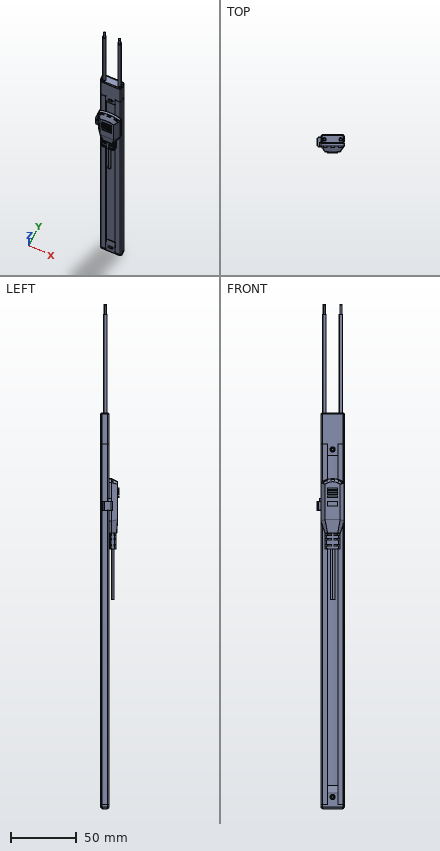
import cadquery as cq

OVERALL_LENGTH = 383.0

BAR_WIDTH = 18.0
BAR_DEPTH = 6.5
BAR_CHAMFER = 1.0
BAR_BOTTOM = 3.5
BAR_TOP = 277.3
CHANNEL_WIDTH = 8.0
CHANNEL_WALL_DEPTH = 1.5
CHANNEL_MIDDLE_DEPTH = 2.0

TOP_CAP_TOP = 300.5
TOP_CAP_CHAMFER = 0.8
TOP_TONGUE_END = 268.5
BOTTOM_TONGUE_SHOULDER = 12.3
BOTTOM_TONGUE_END = 18.0
BOTTOM_CAP_CHAMFER = 1.5

SCREW_HEIGHTS = (9.2, 273.0)
SCREW_HEAD_DIAMETER = 4.0
SCREW_HEAD_THICKNESS = 1.5
SCREW_SHANK_DIAMETER = 2.0
SCREW_LENGTH = 4.5
SCREW_DISH_DIAMETER = 3.0
SCREW_DISH_DEPTH = 1.0

WIRE_OFFSET = 6.32
WIRE_Y = 2.87
WIRE_DIAMETER = 2.5
BARE_DIAMETER = 1.72
BARE_LENGTH = 7.3
WIRE_INSERTION = 4.0

PLUG_TOP = 251.0
PLUG_SHOULDER = 247.8
PLUG_TAPER_START = 218.7
PLUG_BOTTOM = 209.5
PLUG_TAIL_HALF_WIDTH = 5.7
PLUG_PARTING_DEPTH = 2.0
PLUG_DEPTH = 6.5
FACE_HALF_WIDTH = 5.7
FACE_TOP = 248.5
FACE_SHOULDER = 246.5
FACE_TAIL_HALF_WIDTH = 3.5
FACE_BEND = 220.0
FACE_END_DEPTH = 5.7

FACE_FEATURE_WIDTH = 7.5
GRIP_TOP = 244.0
GRIP_BOTTOM = 236.7
GRIP_RIB_COUNT = 4
GRIP_RIB_THICKNESS = 1.0
GRIP_RIB_HEIGHT = 0.92
WINDOW_TOP = 233.5
WINDOW_BOTTOM = 230.0
WINDOW_DEPTH = 0.5

NOTCH_WIDTH = 2.5
NOTCH_BACK = -2.0
NOTCH_FRONT = -3.0
SIDE_NOTCH_OFFSET = 5.7
MIDDLE_NOTCH_FLOOR = 249.0
SIDE_NOTCH_FLOOR = 247.5

RELIEF_BOTTOM = 197.5
RELIEF_WIDTH = 11.5
RELIEF_BACK_DEPTH = 0.5
RELIEF_FRONT_DEPTH = 5.5
RELIEF_CHAMFER = 1.0
RELIEF_GROOVE_HEIGHTS = (208.5, 205.0, 200.5)
RELIEF_GROOVE_WIDTH = 1.0
RELIEF_GROOVE_DEPTH = 1.0
RELIEF_SPINE_WIDTH = 2.0

CORE_DIAMETER = 2.0
CORE_SPACING = 1.5
CABLE_Y = -2.87
CABLE_BOTTOM = 159.0

BUTTON_PROJECTION = 2.85
BUTTON_FRONT = -2.5
BUTTON_BACK = 4.5
BUTTON_CHAMFER = 1.0
BUTTON_BOTTOM = 226.7
BUTTON_TOP = 233.5
COLLAR_PROJECTION = 1.0
COLLAR_BACK = 0.8
COLLAR_TOP = 236.0


def box(x_range, y_range, z_range):
    """Axis-aligned box between the given limits."""
    size = [limits[1] - limits[0] for limits in (x_range, y_range, z_range)]
    corner = (x_range[0], y_range[0], z_range[0])
    return cq.Workplane("XY").box(*size, centered=False).translate(corner)


def bar_block(bottom, top):
    """Stretch of the bar's outer section without the channel, long edges chamfered."""
    half_width = BAR_WIDTH / 2
    block = box((-half_width, half_width), (0, BAR_DEPTH), (bottom, top))
    return block.edges("|Z").chamfer(BAR_CHAMFER)


def channel_filling(bottom, top):
    """Stretch of the channel's section: straight walls and a hollow, arc-shaped floor."""
    half_width = CHANNEL_WIDTH / 2
    return (
        cq.Workplane("XY", origin=(0, 0, bottom))
        .moveTo(-half_width, 0)
        .lineTo(-half_width, CHANNEL_WALL_DEPTH)
        .threePointArc((0, CHANNEL_MIDDLE_DEPTH), (half_width, CHANNEL_WALL_DEPTH))
        .lineTo(half_width, 0)
        .close()
        .extrude(top - bottom)
    )


def front_cylinder(diameter, height, length):
    """Cylinder on the centre line at a height, running back in +Y from the bar's front face."""
    return cq.Workplane("XZ", origin=(0, 0, height)).circle(diameter / 2).extrude(-length)


def screw_envelope(height):
    """Head and shank of a screw, flush with the bar's front face."""
    head = front_cylinder(SCREW_HEAD_DIAMETER, height, SCREW_HEAD_THICKNESS)
    return head.union(front_cylinder(SCREW_SHANK_DIAMETER, height, SCREW_LENGTH))


def make_screw(height):
    """Screw with a conical dish in its head."""
    dish = cq.Solid.makeCone(
        SCREW_DISH_DIAMETER / 2,
        0,
        SCREW_DISH_DEPTH,
        pnt=cq.Vector(0, 0, height),
        dir=cq.Vector(0, 1, 0),
    )
    return screw_envelope(height).cut(cq.Workplane(dish))


def cut_screw_holes(body):
    """Stepped holes that match the screws."""
    for height in SCREW_HEIGHTS:
        body = body.cut(screw_envelope(height))
    return body


def make_profile():
    profile = bar_block(BAR_BOTTOM, BAR_TOP).cut(channel_filling(BAR_BOTTOM, BAR_TOP))
    return cut_screw_holes(profile)


def make_wire(x):
    """Insulated wire that starts inside the top cap and ends in a bare tip."""
    start = TOP_CAP_TOP - WIRE_INSERTION
    wire_plane = cq.Workplane("XY", origin=(x, WIRE_Y, start))
    insulation = wire_plane.circle(WIRE_DIAMETER / 2).extrude(OVERALL_LENGTH - BARE_LENGTH - start)
    conductor = wire_plane.circle(BARE_DIAMETER / 2).extrude(OVERALL_LENGTH - start)
    return insulation.union(conductor)


def make_top_cap(wires):
    cap = bar_block(BAR_TOP, TOP_CAP_TOP).faces(">Z").chamfer(TOP_CAP_CHAMFER)
    cap = cap.union(channel_filling(TOP_TONGUE_END, BAR_TOP))
    for wire in wires:
        cap = cap.cut(wire)
    return cut_screw_holes(cap)


def make_bottom_cap():
    """End block with a tongue that ramps down to the channel floor."""
    cap = bar_block(0, BAR_BOTTOM).faces("<Z").chamfer(BOTTOM_CAP_CHAMFER)
    tongue = channel_filling(BAR_BOTTOM, BOTTOM_TONGUE_END)
    ramp_waste = (
        cq.Workplane("YZ")
        .moveTo(0, BOTTOM_TONGUE_SHOULDER)
        .lineTo(CHANNEL_WALL_DEPTH, BOTTOM_TONGUE_END)
        .lineTo(0, BOTTOM_TONGUE_END)
        .close()
        .extrude(CHANNEL_WIDTH / 2, both=True)
    )
    return cut_screw_holes(cap.union(tongue.cut(ramp_waste)))


def plug_outline(workplane, half_width, shoulder, top, taper_start, tail_half_width):
    """Plug outline: arched top, straight sides and a tapered tail."""
    return (
        workplane.moveTo(-tail_half_width, PLUG_BOTTOM)
        .lineTo(-half_width, taper_start)
        .lineTo(-half_width, shoulder)
        .threePointArc((0, top), (half_width, shoulder))
        .lineTo(half_width, taper_start)
        .lineTo(tail_half_width, PLUG_BOTTOM)
        .close()
    )


def plug_shell():
    """Straight-sided half against the bar and a drafted half in front of it."""
    base_outline = (BAR_WIDTH / 2, PLUG_SHOULDER, PLUG_TOP, PLUG_TAPER_START, PLUG_TAIL_HALF_WIDTH)
    face_outline = (FACE_HALF_WIDTH, FACE_SHOULDER, FACE_TOP, FACE_BEND, FACE_TAIL_HALF_WIDTH)
    back_half = plug_outline(cq.Workplane("XZ"), *base_outline).extrude(PLUG_PARTING_DEPTH)
    front_half = plug_outline(cq.Workplane("XZ", origin=(0, -PLUG_PARTING_DEPTH, 0)), *base_outline)
    front_half = front_half.workplane(offset=PLUG_DEPTH - PLUG_PARTING_DEPTH)
    front_half = plug_outline(front_half, *face_outline).loft(ruled=True)
    tail_slope = (
        cq.Workplane("YZ")
        .moveTo(-PLUG_DEPTH, FACE_BEND)
        .lineTo(-PLUG_DEPTH, PLUG_BOTTOM)
        .lineTo(-FACE_END_DEPTH, PLUG_BOTTOM)
        .close()
        .extrude(BAR_WIDTH / 2, both=True)
    )
    return back_half.union(front_half).cut(tail_slope)


def grip_ribs():
    """Cross ribs standing proud of the plug's front face."""
    half_width = FACE_FEATURE_WIDTH / 2
    pitch = (GRIP_TOP - GRIP_BOTTOM - GRIP_RIB_THICKNESS) / (GRIP_RIB_COUNT - 1)
    ribs = cq.Workplane("XY")
    for index in range(GRIP_RIB_COUNT):
        bottom = GRIP_BOTTOM + index * pitch
        ribs = ribs.union(
            box(
                (-half_width, half_width),
                (-PLUG_DEPTH - GRIP_RIB_HEIGHT, -PLUG_DEPTH),
                (bottom, bottom + GRIP_RIB_THICKNESS),
            )
        )
    return ribs


def face_window():
    """Shallow rectangular recess in the plug's front face."""
    half_width = FACE_FEATURE_WIDTH / 2
    return box(
        (-half_width, half_width),
        (-PLUG_DEPTH, -PLUG_DEPTH + WINDOW_DEPTH),
        (WINDOW_BOTTOM, WINDOW_TOP),
    )


def top_notch(x, floor):
    """Notch open to the top of the plug."""
    x_range = (x - NOTCH_WIDTH / 2, x + NOTCH_WIDTH / 2)
    return box(x_range, (NOTCH_FRONT, NOTCH_BACK), (floor, PLUG_TOP))


def relief_block(inset, bottom, top):
    """Stretch of the strain relief's chamfered section, shrunk all round by an inset."""
    half_width = RELIEF_WIDTH / 2 - inset
    y_range = (-RELIEF_FRONT_DEPTH + inset, -RELIEF_BACK_DEPTH - inset)
    block = box((-half_width, half_width), y_range, (bottom, top))
    return block.edges("|Z").chamfer(RELIEF_CHAMFER)


def strain_relief():
    """Sleeve with ring grooves, bridged by a spine along the middle of each side."""
    half_width = RELIEF_WIDTH / 2
    half_spine = RELIEF_SPINE_WIDTH / 2
    middle_y = -(RELIEF_FRONT_DEPTH + RELIEF_BACK_DEPTH) / 2
    y_range = (-RELIEF_FRONT_DEPTH, -RELIEF_BACK_DEPTH)
    sleeve = relief_block(0, RELIEF_BOTTOM, PLUG_BOTTOM)
    for height in RELIEF_GROOVE_HEIGHTS:
        z_range = (height - RELIEF_GROOVE_WIDTH / 2, height + RELIEF_GROOVE_WIDTH / 2)
        groove = relief_block(0, *z_range).cut(relief_block(RELIEF_GROOVE_DEPTH, *z_range))
        groove = groove.cut(box((-half_spine, half_spine), y_range, z_range))
        spine_y_range = (middle_y - half_spine, middle_y + half_spine)
        groove = groove.cut(box((-half_width, half_width), spine_y_range, z_range))
        sleeve = sleeve.cut(groove)
    return sleeve


def make_plug():
    """Plug shell with its grip, window, top notches and strain relief."""
    plug = plug_shell().union(grip_ribs()).cut(face_window())
    plug = plug.cut(top_notch(0, MIDDLE_NOTCH_FLOOR))
    for side in (-1, 1):
        plug = plug.cut(top_notch(side * SIDE_NOTCH_OFFSET, SIDE_NOTCH_FLOOR))
    return plug.union(strain_relief())


def make_cable():
    """Two cores joined side by side, ending at the bottom of the strain relief."""
    cable = cq.Workplane("XY")
    for side in (-1, 1):
        core = cq.Workplane("XY", origin=(side * CORE_SPACING / 2, CABLE_Y, CABLE_BOTTOM))
        cable = cable.union(core.circle(CORE_DIAMETER / 2).extrude(RELIEF_BOTTOM - CABLE_BOTTOM))
    return cable


def make_button():
    """Side button with chamfered outer edges and a small collar above it."""
    bar_side = -BAR_WIDTH / 2
    button = box(
        (bar_side - BUTTON_PROJECTION, bar_side),
        (BUTTON_FRONT, BUTTON_BACK),
        (BUTTON_BOTTOM, BUTTON_TOP),
    )
    button = button.edges("|Z and <X").chamfer(BUTTON_CHAMFER)
    collar = box(
        (bar_side - COLLAR_PROJECTION, bar_side),
        (-PLUG_PARTING_DEPTH, COLLAR_BACK),
        (BUTTON_TOP, COLLAR_TOP),
    )
    return button.union(collar)


profile = make_profile()
wires = [make_wire(side * WIRE_OFFSET) for side in (-1, 1)]
top_cap = make_top_cap(wires)
bottom_cap = make_bottom_cap()
screws = [make_screw(height) for height in SCREW_HEIGHTS]
plug = make_plug()
cable = make_cable()
button = make_button()

result = cq.Compound.makeCompound(
    [
        profile.val(),
        top_cap.val(),
        bottom_cap.val(),
        *[wire.val() for wire in wires],
        *[screw.val() for screw in screws],
        plug.val(),
        cable.val(),
        button.val(),
    ]
)